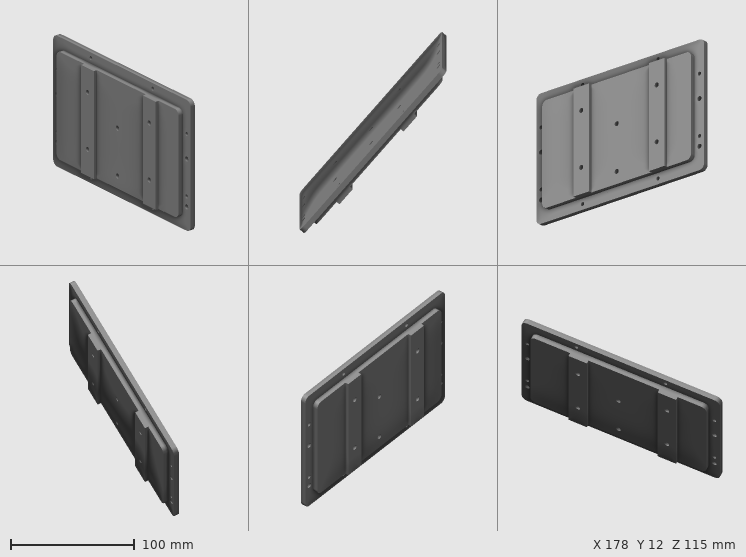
import cadquery as cq

plate_length = 178.0
plate_height = 115.0
plate_thickness = 4.5
corner_radius = 5.0

pad_margin = 10.0
pad_length = plate_length - 2 * pad_margin
pad_height = plate_height - 2 * pad_margin
pad_thickness = 4.5

rail_width = 16.5
rail_thickness = 3.0
rail_spacing = 80.1
rail_pair_offset = 5.0
rail_centers = [rail_pair_offset + side * rail_spacing / 2 for side in (-1, 1)]

small_hole_diameter = 3.4
large_hole_diameter = 4.3
edge_hole_margin = 5.0
edge_hole_x = plate_length / 2 - edge_hole_margin
edge_hole_z = plate_height / 2 - edge_hole_margin
top_hole_x = 40.0
side_hole_z = 27.5
large_hole_levels = (5.5, -36.5)
rail_hole_levels = (26.0, -24.0)

pad_base = plate_thickness
rail_base = pad_base + pad_thickness
total_depth = rail_base + rail_thickness


def plane_at(depth):
    """XZ plane at the given depth in front of the back face."""
    return cq.Workplane("XZ", origin=(0, -depth, 0))


def rounded_slab(length, height, thickness, base):
    """Rectangular slab with rounded upright corners."""
    slab = plane_at(base).rect(length, height).extrude(thickness)
    return slab.edges("|Y").fillet(corner_radius)


def through_holes(points, diameter):
    """Cylinders that cut through the full depth of the part."""
    return plane_at(0).pushPoints(points).circle(diameter / 2).extrude(total_depth)


plate = rounded_slab(plate_length, plate_height, plate_thickness, 0)
pad = rounded_slab(pad_length, pad_height, pad_thickness, pad_base)
rails = (
    plane_at(rail_base)
    .pushPoints([(x, 0) for x in rail_centers])
    .rect(rail_width, pad_height)
    .extrude(rail_thickness)
)

small_points = [(x, z) for x in (-top_hole_x, top_hole_x) for z in (-edge_hole_z, edge_hole_z)]
small_points += [(x, z) for x in (-edge_hole_x, edge_hole_x) for z in (-side_hole_z, side_hole_z)]

large_points = [(x, z) for x in (-edge_hole_x, 0, edge_hole_x) for z in large_hole_levels]
large_points += [(x, z) for x in rail_centers for z in rail_hole_levels]

result = (
    plate.union(pad)
    .union(rails)
    .cut(through_holes(small_points, small_hole_diameter))
    .cut(through_holes(large_points, large_hole_diameter))
)